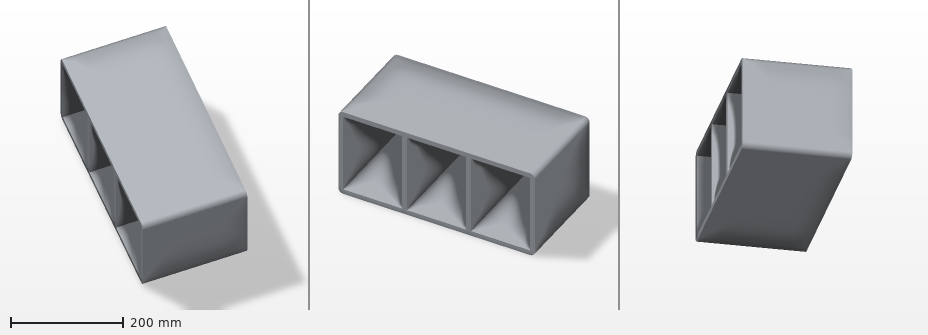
import cadquery as cq

length = 401.5
depth = 200.0
height = 179.5
wall = 10.0
corner_radius = 10.0

cell_count = 3
divider = wall
inner_length = length - 2 * wall
inner_height = height - 2 * wall
cell_width = (inner_length - (cell_count - 1) * divider) / cell_count
cell_pitch = cell_width + divider

shell = cq.Workplane("XY").box(length, depth, height).edges("|Y").fillet(corner_radius)

cells = (
    cq.Workplane("XZ")
    .rarray(cell_pitch, 4, cell_count, 1)
    .rect(cell_width, inner_height)
    .extrude(depth / 2, both=True)
)

result = shell.cut(cells)